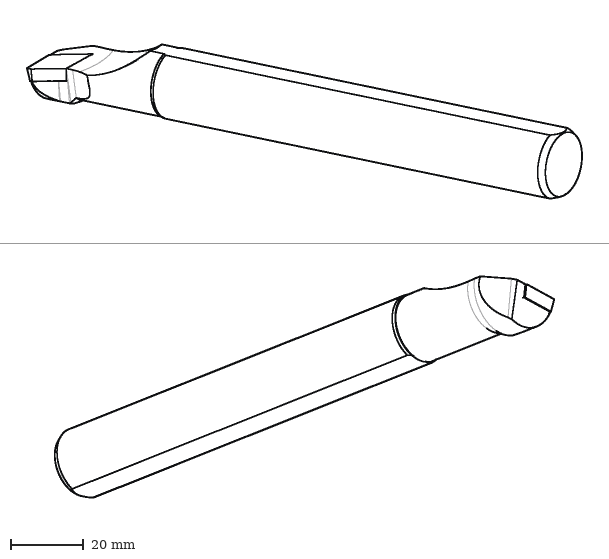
import cadquery as cq
import math

bar_length = 170.0
shank_radius = 10.0
flat_height = 9.2
neck_end = 39.5
shank_lead_in = 1.0
shank_lead_in_depth = 0.3
end_chamfer_length = 1.9
end_chamfer_depth = 1.0

neck_radius = 9.77
neck_center_y = 0.2
head_radius = 11.0
head_center_y = -1.0
head_center_z = 0.2
head_end = 9.3
head_taper_end = 11.9

rake_angle = 5.0
rake_height = 1.4
clearance_angle = 7.0
clearance_depth = 15.3

scoop_start = 15.5
scoop_profile_radius = 27.5
scoop_turn_radius = 28.9
scoop_arc_angle = 60.0

insert_thickness = 3.9
nose_y = -12.2
nose_width = 1.4
insert_shoulder_y = -1.2
insert_heel = (10.4, 4.8)
insert_back = (9.9, -7.5)

flank_y = insert_back[1]
relief_start = 11.9
relief_end = (18.4, -9.7)
relief_exit_x = 20.0
flank_bend = (7.5, -8.3)
front_x = 0.3
corner_start_y = 2.2
corner_end = (1.2, 3.7)
back_x = 12.2
clear_y = 15.3
clear_x = 59.5
clear_height = 15.3


def to_rake_plane(shape):
    """Tilt a shape built on Z = 0 so that Z = 0 becomes the rake face."""
    return shape.rotate((0, 0, 0), (1, 0, 0), rake_angle).translate((0, 0, rake_height))


def make_shank():
    profile = [
        (neck_end, 0),
        (neck_end, shank_radius - shank_lead_in_depth),
        (neck_end + shank_lead_in, shank_radius),
        (bar_length - end_chamfer_length, shank_radius),
        (bar_length, shank_radius - end_chamfer_depth),
        (bar_length, 0),
    ]
    shank = cq.Workplane("XY").polyline(profile).close().revolve(360, (0, 0, 0), (1, 0, 0))
    between_flats = cq.Workplane("XY").box(2 * bar_length, 2 * shank_radius, 2 * flat_height)
    return shank.intersect(between_flats)


def neck_circle(x):
    center = cq.Vector(x, neck_center_y, 0)
    return cq.Wire.makeCircle(neck_radius, center, cq.Vector(1, 0, 0))


def head_circle(x):
    center = cq.Vector(x, head_center_y, head_center_z)
    return cq.Wire.makeCircle(head_radius, center, cq.Vector(1, 0, 0))


def make_neck_and_head():
    head = cq.Solid.makeLoft([head_circle(0), head_circle(head_end)], True)
    taper = cq.Solid.makeLoft([head_circle(head_end), neck_circle(head_taper_end)], True)
    neck = cq.Solid.makeLoft([neck_circle(head_taper_end), neck_circle(neck_end)], True)
    blank = cq.Workplane(obj=head).union(cq.Workplane(obj=taper)).union(cq.Workplane(obj=neck))
    below_flat = cq.Workplane("XY").box(
        2 * bar_length, 4 * head_radius, 2 * bar_length
    ).translate((0, 0, flat_height - bar_length))
    return blank.intersect(below_flat)


def head_outline():
    return (
        cq.Workplane("XY")
        .moveTo(front_x, nose_y)
        .lineTo(nose_width, nose_y)
        .lineTo(*flank_bend)
        .lineTo(*insert_back)
        .lineTo(relief_start, flank_y)
        .tangentArcPoint(relief_end, relative=False)
        .lineTo(relief_exit_x, -clear_y)
        .lineTo(clear_x, -clear_y)
        .lineTo(clear_x, clear_y)
        .lineTo(back_x, clear_y)
        .lineTo(*corner_end)
        .lineTo(front_x, corner_start_y)
        .close()
    )


def make_envelope():
    """Head outline with flanks that lean inward below the rake face."""
    below = head_outline().extrude(-clearance_depth, taper=clearance_angle)
    above = head_outline().extrude(clear_height)
    return to_rake_plane(below.union(above))


def make_scoop():
    """Space above the rake face, ending in a concave wall turned about an upright axis."""
    axis_x = scoop_start - scoop_turn_radius
    rise_angle = math.radians(scoop_arc_angle)
    half_angle = rise_angle / 2

    def wall_point(angle):
        return (
            scoop_turn_radius + scoop_profile_radius * math.sin(angle),
            scoop_profile_radius * (1 - math.cos(angle)),
        )

    wall_top = wall_point(rise_angle)
    scoop = (
        cq.Workplane("XZ")
        .lineTo(scoop_turn_radius, 0)
        .threePointArc(wall_point(half_angle), wall_top)
        .lineTo(0, wall_top[1])
        .close()
        .revolve(360, (0, 0, 0), (0, 1, 0))
        .translate((axis_x, 0, 0))
    )
    return to_rake_plane(scoop)


def make_insert():
    outline = [
        (0, insert_shoulder_y),
        (0, nose_y),
        (nose_width, nose_y),
        insert_back,
        insert_heel,
    ]
    blank = cq.Workplane("XY").polyline(outline).close()
    return to_rake_plane(blank.extrude(-insert_thickness, taper=clearance_angle))


def make_holder(insert):
    working_end = make_neck_and_head().intersect(make_envelope()).cut(make_scoop())
    return working_end.union(make_shank()).cut(insert).solids()


insert = make_insert()
holder = make_holder(insert)

result = cq.Compound.makeCompound([holder.val(), insert.val()])